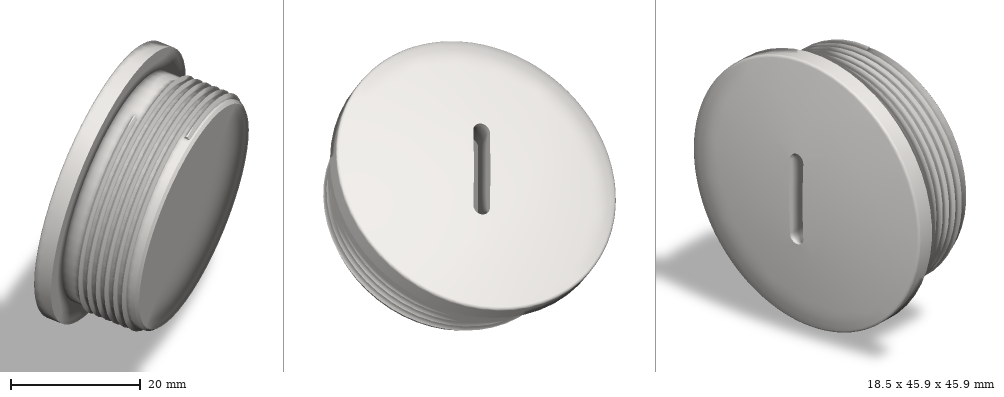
import cadquery as cq

plug_length = 18.5
flange_radius = 22.95
shoulder_x = 5.45
shank_radius = 38.2 / 2
shank_chamfer = 0.45
dome_height = 2.48
rim_fillet = 0.45
dome_radius = (flange_radius**2 + dome_height**2) / (2 * dome_height)

slot_length = 15.7
slot_width = 2.7
slot_floor_x = shoulder_x

thread_start_x = 8.25
thread_travel = 9.0
thread_turns = 6
thread_pitch = thread_travel / thread_turns
ridge_width = 0.95
ridge_height = 0.75
ridge_root_overlap = 0.25
end_flat_height = 0.55


def make_plug():
    """Flange and shank turned as one, domed by a sphere, then slotted across the dome."""
    body = cq.Workplane("YZ").circle(flange_radius).extrude(shoulder_x)
    ball = cq.Workplane("XY").sphere(dome_radius).translate((dome_radius, 0, 0))
    body = body.intersect(ball).edges("<X").fillet(rim_fillet)
    shank = (
        cq.Workplane("YZ", origin=(shoulder_x, 0, 0))
        .circle(shank_radius)
        .extrude(plug_length - shoulder_x)
        .faces(">X")
        .chamfer(shank_chamfer)
    )
    slot = (
        cq.Workplane("YZ", origin=(slot_floor_x, 0, 0))
        .slot2D(slot_length, slot_width, 90)
        .extrude(-2 * slot_floor_x)
    )
    return body.union(shank).cut(slot)


def end_flat_cutter(end_x, y_side):
    """Block above one thread end, on the Y side where the ridge runs, that flattens its crest."""
    flat_radius = shank_radius + end_flat_height
    block_size = flat_radius / 2
    block = cq.Workplane("XY").box(thread_pitch, block_size, block_size)
    return block.translate((end_x, y_side * block_size / 2, flat_radius + block_size / 2))


def make_thread():
    """Helical ridge that starts and ends straight above the axis, seated on the shank."""
    path = cq.Wire.makeHelix(thread_pitch, thread_travel, shank_radius)
    root_radius = shank_radius - ridge_root_overlap
    root_half_width = ridge_width / 2 * (1 + ridge_root_overlap / ridge_height)
    ridge = (
        cq.Workplane("XZ")
        .polyline([
            (root_radius, -root_half_width),
            (shank_radius + ridge_height, 0),
            (root_radius, root_half_width),
        ])
        .close()
        .sweep(cq.Workplane(path), isFrenet=True)
    )
    core_margin = ridge_width
    core = (
        cq.Workplane("XY")
        .workplane(offset=-core_margin)
        .circle(shank_radius)
        .extrude(thread_travel + 2 * core_margin)
    )
    ridge = ridge.cut(core)
    upright = ridge.rotate((0, 0, 0), (0, 1, 0), 90).rotate((0, 0, 0), (1, 0, 0), 180)
    thread = upright.translate((thread_start_x, 0, 0))
    thread = thread.cut(end_flat_cutter(thread_start_x, -1))
    return thread.cut(end_flat_cutter(thread_start_x + thread_travel, 1))


plug = make_plug()
thread = make_thread()

result = cq.Compound.makeCompound([plug.val(), thread.val()])